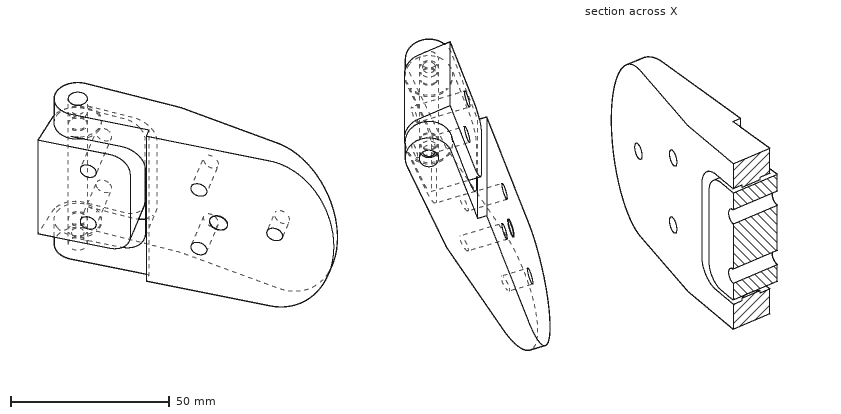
import cadquery as cq
import math


axis_x = 10.0
mount_gap = 3.0
knuckle_dia = 15.0
knuckle_radius = knuckle_dia / 2
axis_y = mount_gap + knuckle_radius

total_length = 97.5
housing_width = 63.0
step_x = 35.7
bend_x = 42.5
shallow_slope = 4.0
tip_thickness = 4.2
nose_length = 21.1
slot_end_x = 34.5
slot_width = 43.8
slot_corner_radius = 8.0
knuckle_gap = 41.9

leaf_length = 30.4
leaf_width = 40.8
leaf_corner_radius = 6.8
leaf_side_lean = 7.3
leaf_back_radius = 8.0

screw_dia = 5.3
leaf_hole_x = 16.6
leaf_hole_spacing = 22.5
flap_pair_x = 53.0
flap_pair_spacing = 25.4
flap_single_x = 78.0
mark_x = 59.5
mark_dia = 5.9
mark_depth = 0.2

pin_dia = 6.0
pin_chamfer = 1.0
pin_recess = 4.9

slope_angle = math.radians(shallow_slope)
tangent_x = axis_x + knuckle_radius * math.sin(slope_angle)
tangent_y = axis_y + knuckle_radius * math.cos(slope_angle)


def back_y(x):
    """Y of the shallow back line at a given X."""
    return tangent_y - (x - tangent_x) * math.tan(slope_angle)


def centered_prism(profile, width):
    """Extrude an XY profile by a width centered on Z = 0."""
    return profile.extrude(width / 2, both=True)


def cylinder_along_z(diameter, length):
    """Cylinder on the hinge axis, centered on Z = 0."""
    return centered_prism(cq.Workplane("XY").center(axis_x, axis_y).circle(diameter / 2), length)


def cylinders_along_y(points, diameter, depth):
    """Cylinders that start on the mounting face at (X, Z) points and run toward the back."""
    sketch = cq.Workplane("XZ").pushPoints(points).circle(diameter / 2)
    return sketch.extrude(-depth)


full_depth = axis_y + 2 * knuckle_radius
pin_hole = cylinder_along_z(pin_dia, housing_width)


def make_housing():
    side_profile = (
        cq.Workplane("XY")
        .moveTo(axis_x, mount_gap)
        .lineTo(step_x, mount_gap)
        .lineTo(step_x, 0)
        .lineTo(total_length, 0)
        .lineTo(total_length, tip_thickness)
        .lineTo(bend_x, back_y(bend_x))
        .lineTo(tangent_x, tangent_y)
        .close()
    )
    body = centered_prism(side_profile, housing_width)

    nose_start_x = total_length - nose_length
    half_width = housing_width / 2
    front_outline = (
        cq.Workplane("XZ")
        .moveTo(nose_start_x, -half_width)
        .ellipseArc(nose_length, half_width, -90, 90, startAtCurrent=True)
        .lineTo(0, half_width)
        .lineTo(0, -half_width)
        .close()
        .extrude(-full_depth)
    )
    body = body.intersect(front_outline)

    slot = (
        cq.Workplane("XZ")
        .center(slot_end_x / 2, 0)
        .rect(slot_end_x, slot_width)
        .extrude(-full_depth)
        .edges("|Y and >X")
        .fillet(slot_corner_radius)
    )
    body = body.cut(slot)

    knuckles = cylinder_along_z(knuckle_dia, housing_width).cut(cylinder_along_z(knuckle_dia, knuckle_gap))
    body = body.union(knuckles).cut(pin_hole)

    half_spacing = flap_pair_spacing / 2
    screw_points = [(flap_pair_x, half_spacing), (flap_pair_x, -half_spacing), (flap_single_x, 0)]
    body = body.cut(cylinders_along_y(screw_points, screw_dia, full_depth))
    return body.cut(cylinders_along_y([(mark_x, 0)], mark_dia, mark_depth))


def make_leaf():
    side_run = math.tan(math.radians(leaf_side_lean))
    corner_y = back_y(0) / (1 + side_run * math.tan(slope_angle))
    corner_x = corner_y * side_run
    side_profile = cq.Workplane("XY").polyline(
        [(0, 0), (leaf_length, 0), (leaf_length, back_y(leaf_length)), (corner_x, corner_y)]
    ).close()
    plate = centered_prism(side_profile, leaf_width)
    back_edge = cq.selectors.NearestToPointSelector((corner_x, corner_y, 0))
    plate = plate.edges(back_edge).fillet(leaf_back_radius)
    plate = plate.edges("|Y and >X").fillet(leaf_corner_radius)
    half_spacing = leaf_hole_spacing / 2
    screw_points = [(leaf_hole_x, half_spacing), (leaf_hole_x, -half_spacing)]
    return plate.cut(pin_hole).cut(cylinders_along_y(screw_points, screw_dia, full_depth))


def make_pin():
    return cylinder_along_z(pin_dia, housing_width - 2 * pin_recess).faces("<Z or >Z").chamfer(pin_chamfer)


housing = make_housing()
leaf = make_leaf()
pin = make_pin()

result = cq.Compound.makeCompound([housing.solids().val(), leaf.solids().val(), pin.solids().val()])